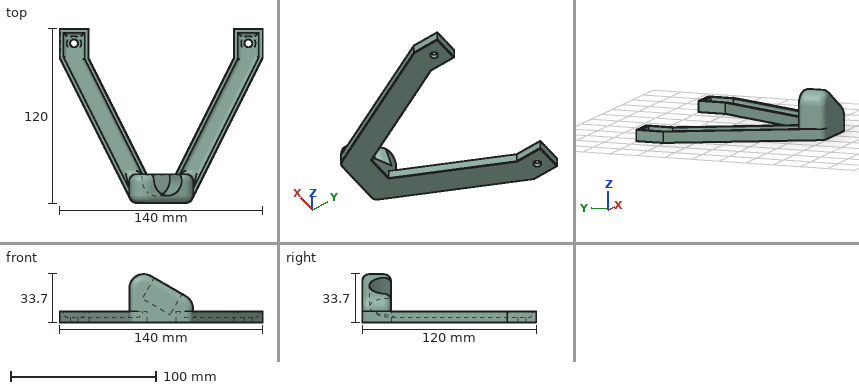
import cadquery as cq
import math

width = 140.0
length = 120.0
height = 33.7
half_width = width / 2

base_thickness = 8.0
pad_size = length / 6
arm_slope = 0.5
base_corner_radius = 5.0
bottom_chamfer = 0.4

pocket_wall = 2.7
pocket_depth = 4.0
pocket_fillet = 3.0

hole_diameter = 5.3
hole_seat_diameter = 10.0

block_half_width = 22.0
block_depth = pad_size
block_top_radius = 10.0
block_edge_fillet = 5.0
slope_angle = 30.0

socket_radius = 11.0
socket_front_wall = 5.0
socket_depth = 16.5
socket_x = 4.6

pad_start = length - pad_size
outer_foot = half_width - arm_slope * pad_start
sin_slope = math.sin(math.radians(slope_angle))
cos_slope = math.cos(math.radians(slope_angle))
arc_centre_x = block_half_width - block_top_radius
high_centre_z = height - block_top_radius
low_centre_z = high_centre_z - 2 * arc_centre_x * sin_slope / cos_slope


def mirrored(body):
    """Return the body joined with its mirror image across the YZ plane."""
    return body.union(body.mirror("YZ"))


def make_base():
    """V-shaped plate, solid where the arms meet under the block."""
    inner_x = half_width - pad_size
    block_inner_x = inner_x - arm_slope * (pad_start - block_depth)
    right_side = [
        (outer_foot, 0),
        (half_width, pad_start),
        (half_width, length),
        (inner_x, length),
        (inner_x, pad_start),
        (block_inner_x, block_depth),
    ]
    left_side = [(-x, y) for x, y in reversed(right_side)]
    plate = cq.Workplane("XY").polyline(right_side + left_side).close().extrude(base_thickness)
    plate = plate.faces("<Y").edges("|Z").fillet(base_corner_radius)
    return plate.faces("<Z").edges().chamfer(bottom_chamfer)


def make_pocket():
    """Cutter for the right arm, rounded along its floor and stopped by the block."""
    outer_x = half_width - pocket_wall
    inner_x = half_width - pad_size + pocket_wall
    bend_shift = pocket_wall * (math.hypot(1, arm_slope) - 1) / arm_slope
    outer_bend_y = pad_start + bend_shift
    inner_bend_y = pad_start - bend_shift
    side_y = outer_bend_y - (outer_x - block_half_width) / arm_slope
    inner_end_x = inner_x - arm_slope * (inner_bend_y - block_depth)
    outline = [
        (outer_x, length - pocket_wall),
        (inner_x, length - pocket_wall),
        (inner_x, inner_bend_y),
        (inner_end_x, block_depth),
        (block_half_width, block_depth),
        (block_half_width, side_y),
        (outer_x, outer_bend_y),
    ]
    floor_z = base_thickness - pocket_depth
    pocket = cq.Workplane("XY").workplane(offset=floor_z).polyline(outline).close().extrude(pocket_depth)
    pocket = pocket.faces("<Z").edges().fillet(pocket_fillet)
    block_corner = cq.selectors.NearestToPointSelector((block_half_width, block_depth, base_thickness))
    return pocket.edges("|Z").edges(block_corner).fillet(block_edge_fillet)


def make_hole():
    """Cutter for the right screw hole and the round seat at the pocket floor."""
    hole_x = half_width - pad_size / 2
    hole_y = length - pad_size / 2
    hole = cq.Workplane("XY").center(hole_x, hole_y).circle(hole_diameter / 2).extrude(base_thickness)
    seat = (
        cq.Workplane("XY")
        .workplane(offset=base_thickness - pocket_depth)
        .center(hole_x, hole_y)
        .circle(hole_seat_diameter / 2)
        .extrude(pocket_depth)
    )
    return hole.union(seat)


def make_block():
    """Block standing on the base, with a sloping top and all its edges rounded."""

    def arc_point(centre_x, centre_z, angle):
        turn = math.radians(angle)
        return (
            centre_x + block_top_radius * math.cos(turn),
            centre_z + block_top_radius * math.sin(turn),
        )

    slope_normal = 90 - slope_angle
    block = (
        cq.Workplane("XZ")
        .moveTo(-block_half_width, base_thickness)
        .lineTo(-block_half_width, high_centre_z)
        .threePointArc(
            arc_point(-arc_centre_x, high_centre_z, (slope_normal + 180) / 2),
            arc_point(-arc_centre_x, high_centre_z, slope_normal),
        )
        .lineTo(*arc_point(arc_centre_x, low_centre_z, slope_normal))
        .threePointArc(
            arc_point(arc_centre_x, low_centre_z, slope_normal / 2),
            (block_half_width, low_centre_z),
        )
        .lineTo(block_half_width, base_thickness)
        .close()
        .extrude(-block_depth)
    )
    front_and_back_edges = block.faces("<Y or >Y").edges("not <Z")
    return front_and_back_edges.fillet(block_edge_fillet)


def make_socket():
    """Cutter for the U-shaped socket, sunk square to the sloping top."""
    centre_y = socket_front_wall + socket_radius
    slope_offset = arc_centre_x + block_top_radius * sin_slope - socket_x
    mouth_z = low_centre_z + block_top_radius * cos_slope + slope_offset * sin_slope / cos_slope
    floor = cq.Plane(
        origin=(socket_x - socket_depth * sin_slope, centre_y, mouth_z - socket_depth * cos_slope),
        xDir=(cos_slope, 0, -sin_slope),
        normal=(sin_slope, 0, cos_slope),
    )
    cutter_height = socket_depth + height
    open_length = block_depth - centre_y
    round_end = cq.Workplane(floor).circle(socket_radius).extrude(cutter_height)
    open_end = (
        cq.Workplane(floor)
        .center(0, open_length / 2)
        .rect(2 * socket_radius, open_length)
        .extrude(cutter_height)
    )
    return round_end.union(open_end)


base = make_base()
for cutter in (make_pocket(), make_hole()):
    base = base.cut(mirrored(cutter))
result = base.union(make_block()).cut(make_socket())